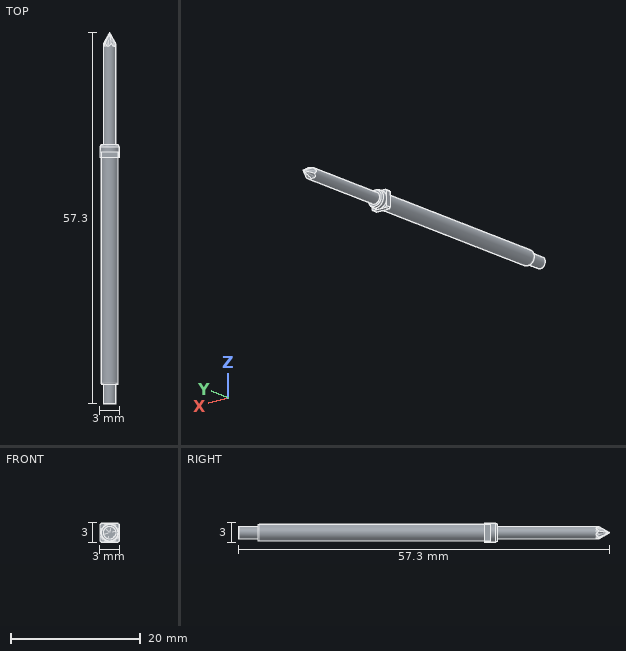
import cadquery as cq
import math

TOTAL_LENGTH = 57.3

TAIL_LENGTH = 3.0
TAIL_DIAMETER = 1.95

BARREL_LENGTH = 35.0
BARREL_DIAMETER = 2.65
BARREL_END_CHAMFER_LENGTH = 0.25
BARREL_END_CHAMFER_DEPTH = 0.05

COLLAR_LENGTH = 2.0
COLLAR_WIDTH = 3.0
COLLAR_SQUARE_LENGTH = 0.9
COLLAR_CORNER_CHAMFER = 0.25
COLLAR_FRONT_CHAMFER_LENGTH = 0.35
COLLAR_FRONT_CHAMFER_DEPTH = 0.2

PLUNGER_DIAMETER = 1.95
TIP_RIDGES = 6
TIP_RIDGE_LENGTH = 1.65
TIP_VALLEY_LENGTH = 2.1
TIP_TURN = 15.0

BARREL_START = TAIL_LENGTH
COLLAR_START = BARREL_START + BARREL_LENGTH
DISC_START = COLLAR_START + COLLAR_SQUARE_LENGTH
PLUNGER_START = COLLAR_START + COLLAR_LENGTH


def section_plane(y):
    """Plane across the pin at the given Y, facing +Y."""
    return cq.Workplane(cq.Plane(origin=(0, y, 0), xDir=(1, 0, 0), normal=(0, 1, 0)))


def rod(start, end, diameter):
    return section_plane(start).circle(diameter / 2).extrude(end - start)


def make_barrel():
    barrel = rod(BARREL_START, COLLAR_START, BARREL_DIAMETER)
    return barrel.faces("<Y").chamfer(BARREL_END_CHAMFER_LENGTH, BARREL_END_CHAMFER_DEPTH)


def make_collar():
    """Square block with a round, chamfered disc in front of it."""
    block = section_plane(COLLAR_START).rect(COLLAR_WIDTH, COLLAR_WIDTH).extrude(COLLAR_SQUARE_LENGTH)
    block = block.edges("|Y").chamfer(COLLAR_CORNER_CHAMFER)
    disc = rod(DISC_START, PLUNGER_START, COLLAR_WIDTH)
    disc = disc.faces(">Y").chamfer(COLLAR_FRONT_CHAMFER_LENGTH, COLLAR_FRONT_CHAMFER_DEPTH)
    return block.union(disc)


def make_tip_cutter():
    """Star-shaped pyramid, with alternating ridges and shallow valleys, that bounds the pointed tip."""
    radius = PLUNGER_DIAMETER / 2
    length = TOTAL_LENGTH - PLUNGER_START
    ridge_reach = radius * length / TIP_RIDGE_LENGTH
    valley_reach = radius * length / TIP_VALLEY_LENGTH
    half_pitch = math.pi / TIP_RIDGES
    corners = []
    for i in range(2 * TIP_RIDGES):
        angle = math.radians(TIP_TURN) + i * half_pitch
        reach = valley_reach if i % 2 else ridge_reach
        corners.append((reach * math.cos(angle), PLUNGER_START, reach * math.sin(angle)))
    apex = (0, TOTAL_LENGTH, 0)
    sides = [(corners[i - 1], corners[i], apex) for i in range(len(corners))]
    faces = []
    for outline in [corners] + sides:
        wire = cq.Wire.makePolygon([cq.Vector(*point) for point in outline], close=True)
        faces.append(cq.Face.makeFromWires(wire))
    return cq.Workplane(cq.Solid.makeSolid(cq.Shell.makeShell(faces)))


def make_plunger():
    """Round rod whose end is ground to a fluted point."""
    return rod(PLUNGER_START, TOTAL_LENGTH, PLUNGER_DIAMETER).intersect(make_tip_cutter())


tail = rod(0, BARREL_START, TAIL_DIAMETER)
result = tail.union(make_barrel()).union(make_collar()).union(make_plunger())